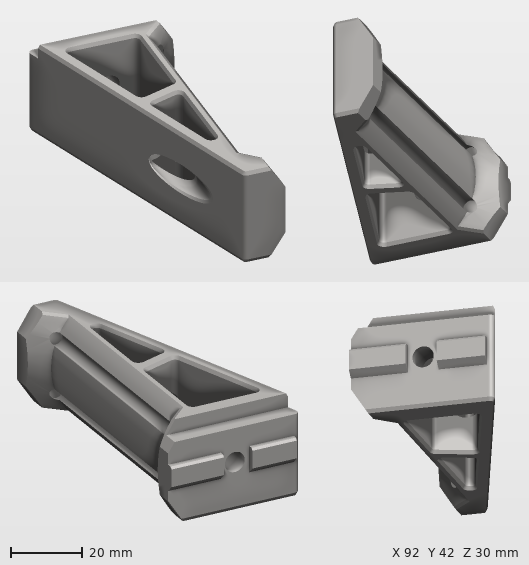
import cadquery as cq
import math

LENGTH = 92.0
HEIGHT = 30.0
DEPTH = 41.95
HALF_HEIGHT = HEIGHT / 2
CLEARANCE = 9.2

TAB_LENGTH = 2.0
SLOPE = 1 / 3
SLOPE_ANGLE = math.atan(SLOPE)
CORNER_RADIUS = 1.5

RIM_HEIGHT = 1.1
RIM_WIDTH = 0.55
RIM_TAPER = math.degrees(math.atan(RIM_WIDTH / RIM_HEIGHT))

LEDGE_LENGTH = 5.0
LEDGE_DROP = 4.4
BEVEL_DEPTH = 5.0
BEVEL_HEIGHT = 7.5

TAB_TOP = 4.0
TAB_BOTTOM = -4.2
TAB_TOP_CHAMFER = 0.6
TAB_SPANS = ((0, 16.7), (25.85, 40.0))

WINDOW_START = TAB_LENGTH + 2 * LEDGE_LENGTH
WINDOW_TOP = 12.5
WALL = 4.0
STRUT_X = 43.8
STRUT_DEPTH = 18.4

SCREW_DEPTH = 21.25
SCREW_DIAMETER = 6.3
ACCESS_DIAMETER = 8.5
ACCESS_CHAMFER = 0.55

RECESS_DEPTH = 4.5
RECESS_SAG = 6.1
RECESS_START = 13.7
RECESS_END = 80.2

RAMP_RUN = 5.4
RAMP_END_SAG = 4.8
RAMP_RIM_HEIGHT = 0.55
RAMP_RIM_FLARE = 1.5

GROOVE_DIAMETER = 4.3
GROOVE_DEPTH = 7.0
GROOVE_Z = 8.4
GROOVE_OVERRUN = 1.75

tip_center_depth = DEPTH - CORNER_RADIUS
slope_start_depth = (
    tip_center_depth
    + CORNER_RADIUS / math.cos(SLOPE_ANGLE)
    + (TAB_LENGTH + CORNER_RADIUS) * SLOPE
)


def slope_depth(x, inset=0.0):
    """Depth at x of the line parallel to the slope and inset into the body."""
    return slope_start_depth - inset / math.cos(SLOPE_ANGLE) - x * SLOPE


def slope_x(depth, inset):
    """X at which the line parallel to the slope reaches a depth."""
    return (slope_depth(0, inset) - depth) / SLOPE


def strut_x(depth, offset):
    """X at a depth on the line parallel to the strut, offset from its middle."""
    return STRUT_X + offset / math.cos(SLOPE_ANGLE) + (depth - STRUT_DEPTH) * SLOPE


def strut_corner(offset):
    """Point where a strut side meets the inner side of the slope wall."""
    x_at_zero = strut_x(0, offset)
    depth = (slope_depth(0, WALL) - x_at_zero * SLOPE) / (1 + SLOPE**2)
    return strut_x(depth, offset), -depth


def rimmed_prism(points, rounded_edges, taper):
    """Full-height prism whose two ends narrow (or flare, if negative) by the taper."""
    straight_height = HEIGHT - 2 * RIM_HEIGHT
    core = (
        cq.Workplane("XY")
        .polyline(points)
        .close()
        .extrude(straight_height / 2, both=True)
        .edges(rounded_edges)
        .fillet(CORNER_RADIUS)
    )
    prism = core
    for end in (">Z", "<Z"):
        end_outline = core.faces(end).wires().toPending().workplane()
        rim = end_outline.extrude(RIM_HEIGHT, taper=taper, combine=False)
        prism = prism.union(rim)
    return prism


def make_body():
    outline = [
        (TAB_LENGTH, 0),
        (TAB_LENGTH, -slope_depth(TAB_LENGTH)),
        (LENGTH, -slope_depth(LENGTH)),
        (LENGTH, 0),
    ]
    return rimmed_prism(outline, "|Z and (not >Y)", RIM_TAPER)


def make_windows():
    near_side = -WALL / 2
    far_side = WALL / 2
    large = [
        (WINDOW_START, -WINDOW_TOP),
        (WINDOW_START, -slope_depth(WINDOW_START, WALL)),
        strut_corner(near_side),
        (strut_x(WINDOW_TOP, near_side), -WINDOW_TOP),
    ]
    small = [
        (strut_x(WINDOW_TOP, far_side), -WINDOW_TOP),
        strut_corner(far_side),
        (slope_x(WINDOW_TOP, WALL), -WINDOW_TOP),
    ]
    return rimmed_prism(large, "|Z", -RIM_TAPER).union(rimmed_prism(small, "|Z", -RIM_TAPER))


def make_ledge_cut():
    step = cq.Workplane("XY").box(TAB_LENGTH + LEDGE_LENGTH, DEPTH, LEDGE_DROP, centered=False)
    return step.translate((0, -DEPTH, HALF_HEIGHT - LEDGE_DROP))


def make_bevel_cut():
    """Triangular prisms along the top and bottom edges of the grip side."""
    bevel = (
        cq.Workplane("YZ")
        .polyline([(0, HALF_HEIGHT), (-BEVEL_DEPTH, HALF_HEIGHT), (0, HALF_HEIGHT - BEVEL_HEIGHT)])
        .close()
        .extrude(LENGTH)
    )
    return bevel.union(bevel.mirror("XY"))


def recess_section(x, depth, sag):
    """Closed YZ section between the recess arc and a line clear of the grip side."""
    rim = -depth - sag
    return (
        cq.Workplane("YZ", origin=(x, 0, 0))
        .moveTo(CLEARANCE, -HALF_HEIGHT)
        .lineTo(rim, -HALF_HEIGHT)
        .threePointArc((-depth, 0), (rim, HALF_HEIGHT))
        .lineTo(CLEARANCE, HALF_HEIGHT)
        .close()
    )


def ramp_section(x, depth, sag):
    """Recess section whose arc breaks into straight flares close to its two rims."""
    arc_radius = (HALF_HEIGHT**2 + sag**2) / (2 * sag)
    arc_top = HALF_HEIGHT - RAMP_RIM_HEIGHT
    arc_end = math.sqrt(arc_radius**2 - arc_top**2) - arc_radius - depth
    rim = arc_end - RAMP_RIM_FLARE
    return (
        cq.Workplane("YZ", origin=(x, 0, 0))
        .moveTo(CLEARANCE, -HALF_HEIGHT)
        .lineTo(rim, -HALF_HEIGHT)
        .lineTo(arc_end, -arc_top)
        .threePointArc((-depth, 0), (arc_end, arc_top))
        .lineTo(rim, HALF_HEIGHT)
        .lineTo(CLEARANCE, HALF_HEIGHT)
        .close()
    )


def make_recess_ramp(inner_x, direction):
    """End of the recess, climbing past the grip side until its whole section clears the body."""
    inner = ramp_section(inner_x, RECESS_DEPTH, RECESS_SAG).wire().val()
    rise_at_rim = RECESS_DEPTH + RECESS_SAG - RAMP_END_SAG
    runs = (RECESS_DEPTH + RECESS_SAG + RAMP_RIM_FLARE) / rise_at_rim
    outer_x = inner_x + direction * RAMP_RUN * runs
    outer_depth = RECESS_DEPTH * (1 - runs)
    outer_sag = RECESS_SAG + (RAMP_END_SAG - RECESS_SAG) * runs
    outer = ramp_section(outer_x, outer_depth, outer_sag).wire().val()
    return cq.Workplane(obj=cq.Solid.makeLoft([inner, outer], True))


def make_recess_cut():
    floor = recess_section(0, RECESS_DEPTH, RECESS_SAG).extrude(LENGTH)
    middle_length = RECESS_END - RECESS_START
    middle = recess_section(RECESS_START, RECESS_DEPTH, RECESS_SAG).extrude(middle_length)
    near_ramp = make_recess_ramp(RECESS_START, -1).intersect(floor)
    far_ramp = make_recess_ramp(RECESS_END, 1).intersect(floor)
    return middle.union(near_ramp).union(far_ramp)


def make_groove_cut():
    """Round grooves sunk into the recess arc, mirrored about the middle of the height."""
    return (
        cq.Workplane("YZ", origin=(RECESS_START - GROOVE_OVERRUN, 0, 0))
        .pushPoints([(-GROOVE_DEPTH, GROOVE_Z), (-GROOVE_DEPTH, -GROOVE_Z)])
        .circle(GROOVE_DIAMETER / 2)
        .extrude(RECESS_END - RECESS_START + 2 * GROOVE_OVERRUN)
    )


def make_screw_cut():
    """Screw hole from the mounting face into the large window, then the access bore."""
    screw = (
        cq.Workplane("YZ", origin=(0, -SCREW_DEPTH, 0))
        .circle(SCREW_DIAMETER / 2)
        .extrude(WINDOW_START)
    )
    access = (
        cq.Workplane("YZ", origin=(WINDOW_START, -SCREW_DEPTH, 0))
        .circle(ACCESS_DIAMETER / 2)
        .extrude(LENGTH - WINDOW_START)
    )
    return screw.union(access)


def make_tabs():
    profile = [
        (TAB_LENGTH, TAB_TOP),
        (TAB_TOP_CHAMFER, TAB_TOP),
        (0, TAB_TOP - TAB_TOP_CHAMFER),
        (0, TAB_BOTTOM + TAB_LENGTH),
        (TAB_LENGTH, TAB_BOTTOM),
    ]
    tabs = cq.Workplane("XZ")
    for start, end in TAB_SPANS:
        start_plane = cq.Workplane("XZ", origin=(0, -start, 0))
        tabs = tabs.add(start_plane.polyline(profile).close().extrude(end - start))
    return tabs.combine()


def chamfer_access_mouth(body):
    """Chamfer the elliptical edge where the access bore leaves the slope."""
    mouth_x = slope_x(SCREW_DEPTH, 0)
    mouth = cq.selectors.NearestToPointSelector((mouth_x, -SCREW_DEPTH, 0))
    return body.edges("%ELLIPSE").edges(mouth).chamfer(ACCESS_CHAMFER)


result = make_body().cut(make_recess_cut()).cut(make_screw_cut())
result = chamfer_access_mouth(result)
for cutter in (make_windows(), make_ledge_cut(), make_bevel_cut(), make_groove_cut()):
    result = result.cut(cutter)
result = result.union(make_tabs())